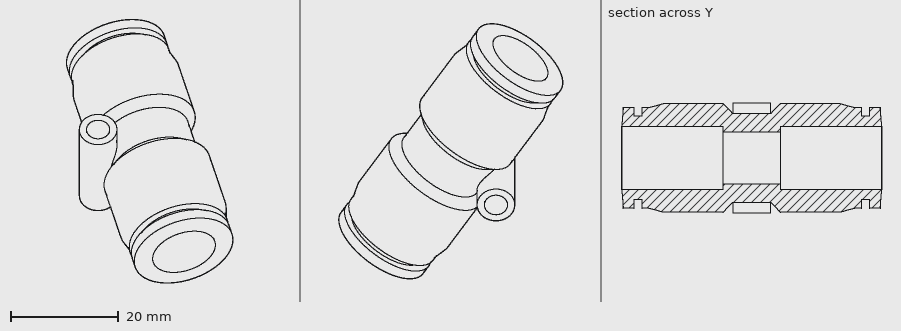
import cadquery as cq

length = 48.3
body_radius = 10.25
collar_radius = 9.5
groove_radius = 7.95
neck_radius = 8.5
socket_radius = 6.05
bore_radius = 5.0

face_taper = 0.3
groove_start = 2.3
groove_end = 3.75
shoulder_start = 4.97
shoulder_end = 7.75
socket_depth = 18.8

neck_half_length = 3.57
neck_chamfer = body_radius - neck_radius

post_diameter = 7.0
post_hole_diameter = 4.3
post_height = 2 * body_radius
total_depth = 23.65
post_y = -(total_depth - body_radius - post_diameter / 2)

half_length = length / 2


def make_body():
    """Revolve the mirrored profile: neck, barrels, release collars and stepped bore."""
    right_profile = [
        (neck_half_length, neck_radius),
        (neck_half_length + neck_chamfer, body_radius),
        (half_length - shoulder_end, body_radius),
        (half_length - shoulder_start, collar_radius),
        (half_length - groove_end, collar_radius),
        (half_length - groove_end, groove_radius),
        (half_length - groove_start, groove_radius),
        (half_length - groove_start, collar_radius),
        (half_length - face_taper, collar_radius),
        (half_length, socket_radius),
        (half_length - socket_depth, socket_radius),
        (half_length - socket_depth, bore_radius),
    ]
    left_profile = [(-x, radius) for x, radius in reversed(right_profile)]
    profile = cq.Workplane("XY").polyline(right_profile + left_profile).close()
    return profile.revolve(360, (0, 0, 0), (1, 0, 0))


def make_post_cylinder(diameter):
    """Full-height cylinder on the axis of the mounting post."""
    base = cq.Workplane("XY", origin=(0, post_y, -post_height / 2))
    return base.circle(diameter / 2).extrude(post_height)


post = make_post_cylinder(post_diameter)
post_hole = make_post_cylinder(post_hole_diameter)
result = make_body().union(post).cut(post_hole)